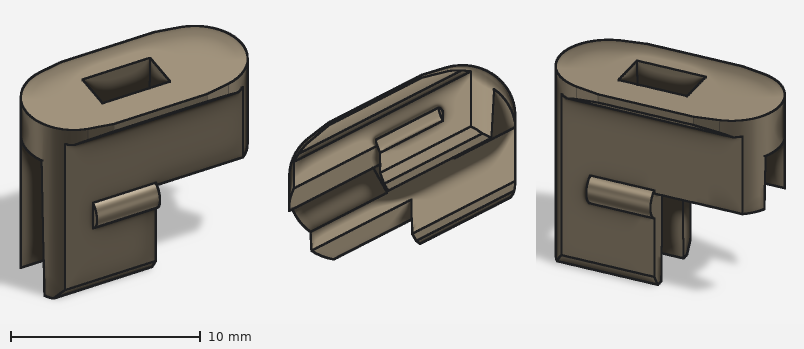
import cadquery as cq
import math

length = 12.8
height = 11.45
head_width = 6.0
body_width = 4.45

end_radius = 2.8
end_center_y = length / 2 - end_radius
flank_half_length = 2.78
slant_end_y = 4.19
slant_end_x = math.sqrt(end_radius**2 - (slant_end_y - end_center_y)**2)
head_depth = 1.0
head_bevel = 0.5

short_depth = 5.7
leg_back_y = 0.13
leg_bevel_width = 0.44
leg_bevel_height = 0.7

wall_draft = 1.0
window_width_top = 2.29
window_front_y = -2.48
window_back_y = 1.54
slot_top_depth = 2.5

ridge_radius = 1.0
ridge_reach = 2.7
ridge_depth = 6.36
ridge_front_y = -3.62


def along_y(points, y_front, y_back):
    """Extrude an X-Z outline between two Y positions."""
    plane = cq.Workplane("XZ", origin=(0, y_back, 0))
    return plane.polyline(points).close().extrude(y_back - y_front)


def full_length(points):
    return along_y(points, -length / 2, length / 2)


def oval_prism():
    half_width = head_width / 2
    return (
        cq.Workplane("XY")
        .moveTo(half_width, -flank_half_length)
        .lineTo(half_width, flank_half_length)
        .lineTo(slant_end_x, slant_end_y)
        .threePointArc((0, length / 2), (-slant_end_x, slant_end_y))
        .lineTo(-half_width, flank_half_length)
        .lineTo(-half_width, -flank_half_length)
        .lineTo(-slant_end_x, -slant_end_y)
        .threePointArc((0, -length / 2), (slant_end_x, -slant_end_y))
        .close()
        .extrude(-height)
    )


def side_profile():
    """Front outline of the bevelled head, narrower body and bevelled leg tips."""
    half_head = head_width / 2
    half_body = body_width / 2
    right_side = [
        (half_head, 0),
        (half_head, head_bevel - head_depth),
        (half_head - head_bevel, -head_depth),
        (half_body, -head_depth),
        (half_body, leg_bevel_height - height),
        (half_body - leg_bevel_width, -height),
    ]
    left_side = [(-x, z) for x, z in reversed(right_side)]
    return full_length(right_side + left_side)


def tapered_gap(top_depth, bottom_depth, y_front, y_back):
    """Gap that widens downward at the wall draft."""
    def half_width(depth):
        return window_width_top / 2 + depth * math.tan(math.radians(wall_draft))

    top = half_width(top_depth)
    bottom = half_width(bottom_depth)
    outline = [
        (-top, -top_depth),
        (top, -top_depth),
        (bottom, -bottom_depth),
        (-bottom, -bottom_depth),
    ]
    return along_y(outline, y_front, y_back)


def ridge(side):
    center_x = side * (ridge_reach - ridge_radius)
    return (
        cq.Workplane("XZ", origin=(0, leg_back_y, 0))
        .center(center_x, -ridge_depth)
        .circle(ridge_radius)
        .extrude(leg_back_y - ridge_front_y)
    )


behind_legs = along_y(
    [
        (-head_width / 2, -short_depth),
        (head_width / 2, -short_depth),
        (head_width / 2, -height),
        (-head_width / 2, -height),
    ],
    leg_back_y,
    length / 2,
)
slot = tapered_gap(slot_top_depth, height, -length / 2, length / 2)
window = tapered_gap(0, slot_top_depth, window_front_y, window_back_y)

result = oval_prism().intersect(side_profile()).cut(behind_legs)
for side in (-1, 1):
    result = result.union(ridge(side))
result = result.cut(slot).cut(window)